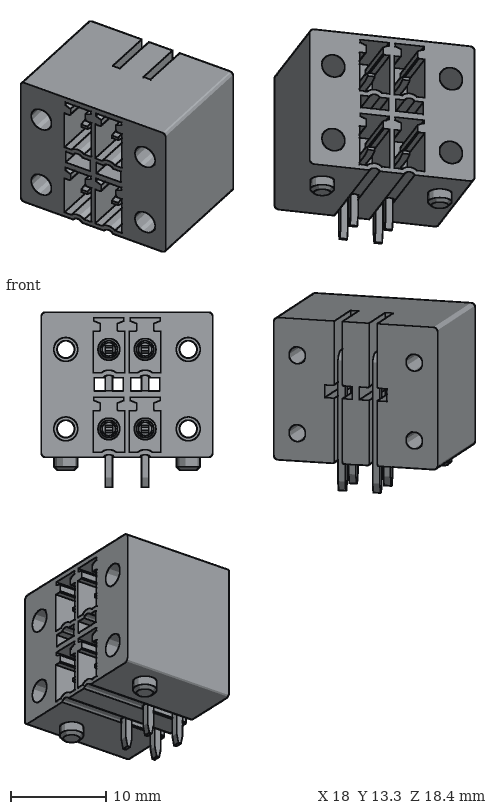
import cadquery as cq
import math


WIDTH = 18.01
DEPTH = 13.3
HEIGHT = 15.25
CORNER_RADIUS = 0.5

PITCH = 3.8
ROW_PITCH = 8.34
LOWER_CONTACT_Z = 3.0
COLUMN_XS = [-PITCH / 2, PITCH / 2]
ROW_RISES = [0, ROW_PITCH]

POCKET_DEPTH = 6.62
POCKET_HALF_WIDTH = 1.65
POCKET_FLOOR_Z = 0.53
POCKET_SHOULDER_Z = 4.88
NECK_HALF_WIDTH = 0.9
NECK_CHAMFER = 0.11
NECK_TOP_Z = 5.7
KEY_HALF_WIDTH = 1.58
KEY_BOTTOM_Z = 5.98
POCKET_TOP_Z = 6.31

ARCH_CENTER_Z = -0.39
RIB_RADIUS = 1.21
GROOVE_RADIUS = 0.68

COLLAR_BASE_RADIUS = 1.15
COLLAR_STEP_RADIUS = 0.9
COLLAR_TIP_RADIUS = 0.7
COLLAR_CONE_LENGTH = 0.46
COLLAR_NOSE_LENGTH = 0.11

WINDOW_WIDTH = 3.02
WINDOW_BOTTOM_Z = 7.0
WINDOW_TOP_Z = 8.35

SLOT_WIDTH = 0.88
SLOT_DEPTH = 5.75

MOUNT_X = 6.42
MOUNT_BORE_DIAMETER = 2.5
MOUNT_BORE_DEPTH = DEPTH / 2
MOUNT_HOLE_DIAMETER = 1.8

WIRE = 0.8
TAIL_LENGTH = 3.15
TIP_THICKNESS = 0.33
TIP_LENGTH = 1.05
BEND_RADIUS = 1.18
CONTACT_TIP_Y = 1.29
TAIL_SETBACK = 1.47
UPPER_TAIL_Y = DEPTH - TAIL_SETBACK
LOWER_TAIL_Y = UPPER_TAIL_Y - PITCH

PEG_DIAMETER = 2.5
PEG_LENGTH = 1.35
PEG_CHAMFER = 0.37
PEG_Y = 4.2


def box(x_center, width, y_start, y_end, z_start, z_end):
    """Box centred on x_center in X and spanning the given ranges in Y and Z."""
    block = cq.Workplane("XY").box(width, y_end - y_start, z_end - z_start, centered=(True, False, False))
    return block.translate((x_center, y_start, z_start))


def rod(x, z, diameter, length):
    """Cylinder along +Y that starts at the mating face."""
    return cq.Workplane("XZ", origin=(x, 0, z)).circle(diameter / 2).extrude(-length)


def make_pocket(x, rise):
    """Pocket with a necked keyway above it and an arched rib left standing on its floor."""
    right_side = [
        (POCKET_HALF_WIDTH, POCKET_FLOOR_Z),
        (POCKET_HALF_WIDTH, POCKET_SHOULDER_Z),
        (NECK_HALF_WIDTH + NECK_CHAMFER, POCKET_SHOULDER_Z),
        (NECK_HALF_WIDTH, POCKET_SHOULDER_Z + NECK_CHAMFER),
        (NECK_HALF_WIDTH, NECK_TOP_Z),
        (KEY_HALF_WIDTH, KEY_BOTTOM_Z),
        (KEY_HALF_WIDTH, POCKET_TOP_Z),
    ]
    left_side = [(-side_x, z) for side_x, z in reversed(right_side)]
    outline = cq.Workplane("XZ", origin=(x, 0, rise)).polyline(right_side + left_side).close()
    rib = rod(x, rise + ARCH_CENTER_Z, 2 * RIB_RADIUS, POCKET_DEPTH)
    return outline.extrude(-POCKET_DEPTH).cut(rib)


def make_collar(x, z):
    """Two-step tapered collar standing on the back wall of a pocket."""
    cone_y = POCKET_DEPTH - COLLAR_CONE_LENGTH
    nose_y = cone_y - COLLAR_NOSE_LENGTH
    profile = [
        (0, POCKET_DEPTH),
        (COLLAR_BASE_RADIUS, POCKET_DEPTH),
        (COLLAR_STEP_RADIUS, cone_y),
        (COLLAR_TIP_RADIUS, nose_y),
        (0, nose_y),
    ]
    return cq.Workplane("XY").polyline(profile).close().revolve(360, (0, 0), (0, 1)).translate((x, 0, z))


def make_housing(contacts):
    """Housing block with a matching passage for each of the given contacts."""
    body = box(0, WIDTH, 0, DEPTH, 0, HEIGHT).edges("|Y").fillet(CORNER_RADIUS)
    for x in COLUMN_XS:
        body = body.cut(box(x, WINDOW_WIDTH, 0, DEPTH, WINDOW_BOTTOM_Z, WINDOW_TOP_Z))
        body = body.cut(box(x, SLOT_WIDTH, DEPTH - SLOT_DEPTH, DEPTH, 0, HEIGHT))
        for rise in ROW_RISES:
            body = body.cut(make_pocket(x, rise))
            body = body.cut(rod(x, rise + ARCH_CENTER_Z, 2 * GROOVE_RADIUS, DEPTH))
            body = body.union(make_collar(x, LOWER_CONTACT_Z + rise))
    for x in [-MOUNT_X, MOUNT_X]:
        for rise in ROW_RISES:
            z = LOWER_CONTACT_Z + rise
            body = body.cut(rod(x, z, MOUNT_BORE_DIAMETER, MOUNT_BORE_DEPTH))
            body = body.cut(rod(x, z, MOUNT_HOLE_DIAMETER, DEPTH))
    for contact in contacts:
        body = body.cut(contact)
    return body


def make_contact(x, contact_z, tail_y):
    """Square wire that runs back from its tip, bends down and ends in a tail below the housing."""
    half = WIRE / 2
    tip_half = TIP_THICKNESS / 2
    inner_radius = BEND_RADIUS - WIRE
    bend_y = tail_y + half - BEND_RADIUS
    bend_z = contact_z + half - BEND_RADIUS
    diagonal = math.sqrt(0.5)
    outer_middle = (bend_y + BEND_RADIUS * diagonal, bend_z + BEND_RADIUS * diagonal)
    inner_middle = (bend_y + inner_radius * diagonal, bend_z + inner_radius * diagonal)
    side = (
        cq.Workplane("YZ")
        .moveTo(CONTACT_TIP_Y, contact_z - tip_half)
        .lineTo(CONTACT_TIP_Y, contact_z + tip_half)
        .lineTo(CONTACT_TIP_Y + TIP_LENGTH, contact_z + half)
        .lineTo(bend_y, contact_z + half)
        .threePointArc(outer_middle, (tail_y + half, bend_z))
        .lineTo(tail_y + half, TIP_LENGTH - TAIL_LENGTH)
        .lineTo(tail_y + tip_half, -TAIL_LENGTH)
        .lineTo(tail_y - tip_half, -TAIL_LENGTH)
        .lineTo(tail_y - half, TIP_LENGTH - TAIL_LENGTH)
        .lineTo(tail_y - half, bend_z)
        .threePointArc(inner_middle, (bend_y, contact_z - half))
        .lineTo(CONTACT_TIP_Y + TIP_LENGTH, contact_z - half)
        .close()
    )
    return side.extrude(half, both=True).translate((x, 0, 0))


def make_peg(x):
    """Round locating peg on the underside, chamfered at its free end."""
    peg = cq.Workplane("XY", origin=(x, PEG_Y, 0)).circle(PEG_DIAMETER / 2).extrude(-PEG_LENGTH)
    return peg.faces("<Z").chamfer(PEG_CHAMFER)


lower_contacts = [make_contact(x, LOWER_CONTACT_Z, LOWER_TAIL_Y) for x in COLUMN_XS]
upper_contacts = [make_contact(x, LOWER_CONTACT_Z + ROW_PITCH, UPPER_TAIL_Y) for x in COLUMN_XS]
housing = make_housing(lower_contacts + upper_contacts)
pegs = [make_peg(x) for x in [-MOUNT_X, MOUNT_X]]

bodies = [housing, *lower_contacts, *upper_contacts, *pegs]
result = cq.Compound.makeCompound([body.val() for body in bodies])